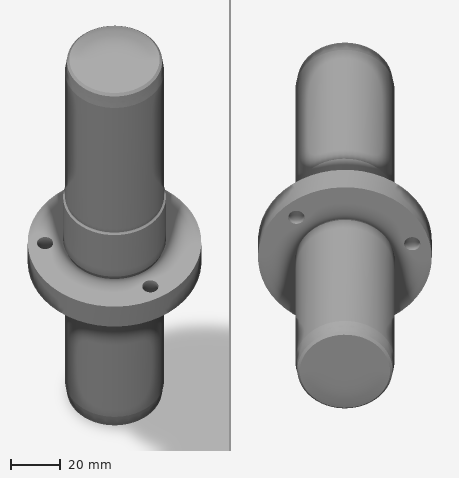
import cadquery as cq

TOTAL_LENGTH = 200.0
FLANGE_BOTTOM = 78.0
FLANGE_THICKNESS = 12.0
FLANGE_DIAMETER = 70.0

SHANK_DIAMETER = 40.0
TAPER_LENGTH = 7.0
TAPER_END_DIAMETER = 38.4
TIP_CHAMFER = 1.0

COLLAR_DIAMETER = 41.5
COLLAR_BOTTOM_GAP = 1.5
COLLAR_LENGTH = 26.5
COLLAR_CHAMFER = (COLLAR_DIAMETER - SHANK_DIAMETER) / 2

NECK_DIAMETER = 38.6
NECK_LENGTH = 1.0
NECK_CHAMFER = (SHANK_DIAMETER - NECK_DIAMETER) / 2

HOLE_COUNT = 3
HOLE_DIAMETER = 6.5
HOLE_CIRCLE_DIAMETER = 56.0


def turned_body():
    """Revolve the half profile of the pin, collar and flange about Z."""
    shank_r = SHANK_DIAMETER / 2
    taper_r = TAPER_END_DIAMETER / 2
    tip_r = taper_r - TIP_CHAMFER
    collar_r = COLLAR_DIAMETER / 2
    neck_r = NECK_DIAMETER / 2
    flange_r = FLANGE_DIAMETER / 2

    neck_bottom = FLANGE_BOTTOM - NECK_LENGTH
    flange_top = FLANGE_BOTTOM + FLANGE_THICKNESS
    collar_bottom = flange_top + COLLAR_BOTTOM_GAP
    collar_top = collar_bottom + COLLAR_LENGTH

    profile = [
        (0, 0),
        (tip_r, 0),
        (taper_r, TIP_CHAMFER),
        (shank_r, TAPER_LENGTH),
        (shank_r, neck_bottom - NECK_CHAMFER),
        (neck_r, neck_bottom),
        (neck_r, FLANGE_BOTTOM),
        (flange_r, FLANGE_BOTTOM),
        (flange_r, flange_top),
        (shank_r, flange_top),
        (shank_r, collar_bottom),
        (collar_r, collar_bottom + COLLAR_CHAMFER),
        (collar_r, collar_top - COLLAR_CHAMFER),
        (shank_r, collar_top),
        (shank_r, TOTAL_LENGTH - TAPER_LENGTH),
        (taper_r, TOTAL_LENGTH - TIP_CHAMFER),
        (tip_r, TOTAL_LENGTH),
        (0, TOTAL_LENGTH),
    ]
    return cq.Workplane("XZ").polyline(profile).close().revolve(360, (0, 0), (0, 1))


def flange_holes():
    """Three equally spaced through-hole cutters, the first one on +X."""
    return (
        cq.Workplane("XY", origin=(0, 0, FLANGE_BOTTOM))
        .polarArray(HOLE_CIRCLE_DIAMETER / 2, 0, 360, HOLE_COUNT)
        .circle(HOLE_DIAMETER / 2)
        .extrude(FLANGE_THICKNESS)
    )


result = turned_body().cut(flange_holes())